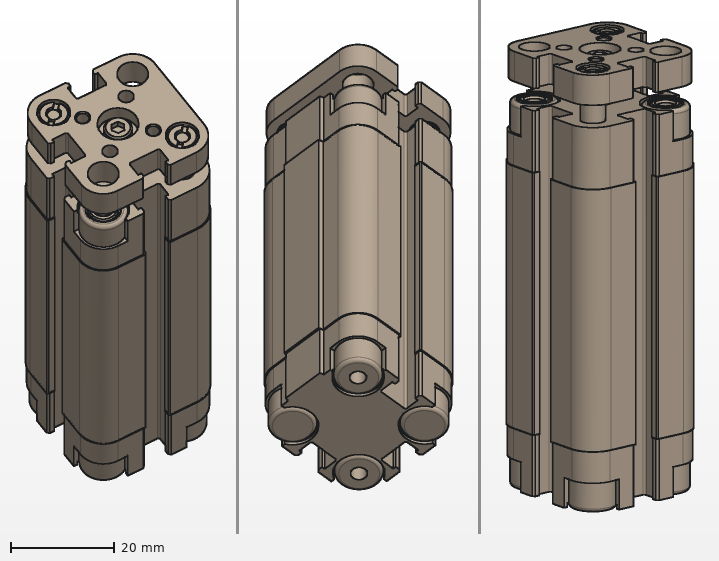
import cadquery as cq
import math


total_height = 88.5
housing_height = 78.0
corner_offset = 9.0

tube_half = 29.0 / 2
cap_half = 28.6 / 2
cap_height = 12.5

rail_base_half = 5.0
rail_top_half = 4.7
tube_rail_top = 15.5
cap_rail_top = 15.1

slot_inner_half = 3.45
slot_floor = 9.5
slot_lip = 12.8
slot_corner_radius = 0.4
tube_opening_half = 2.6
tube_lip_chamfer = 0.3
cap_opening_half = 2.7
cap_lip_chamfer = 0.4

boss_diameter = 9.5
boss_height = 6.1
boss_rounding = 0.8
boss_groove_diameter = 10.1
relief_start = 6.7

screw_bore_diameter = 7.0
screw_head_diameter = 6.1
screw_chamfer = 0.31
through_diameter = 3.3
through_mouth_diameter = 4.2

plate_half = 28.1 / 2
plate_thickness = 6.1
head_bore_depth = plate_thickness / 2
access_diameter = 6.0
plate_hole_offset = 5.0
dowel_diameter = 3.0
tapped_diameter = 2.5
tapped_mouth_diameter = 3.0

piston_diameter = 5.7
flats_width = 4.7
flats_length = 2.7
piston_bore_diameter = 8.0
piston_end_diameter = 5.5
piston_end_depth = 1.1
piston_end_chamfer = 0.35
hex_width = 2.5
hex_depth = 1.3

guide_diameter = 5.0
collar_diameter = 6.0
collar_height = 0.5
head_bore_diameter = 6.5
head_diameter = 6.1
head_depth = 0.3
head_chamfer = 0.31
driver_slot_width = 1.1
driver_slot_depth = 0.8
post_diameter = 3.0
post_depth = 0.4
post_chamfer = 0.3

rod_reach = 35.4

tube_top = housing_height - cap_height
plate_bottom = total_height - plate_thickness
bore_floor = total_height - head_bore_depth
rod_bottom = housing_height - rod_reach

GUIDE_CORNERS = [(-corner_offset, -corner_offset), (corner_offset, corner_offset)]
SCREW_CORNERS = [(-corner_offset, corner_offset), (corner_offset, -corner_offset)]


def cylinder(diameter, bottom, top, center=(0, 0)):
    return cq.Workplane("XY", origin=(*center, bottom)).circle(diameter / 2).extrude(top - bottom)


def pin(diameter, chamfer, bottom, top, center=(0, 0)):
    """Cylinder with a chamfered top rim."""
    return cylinder(diameter, bottom, top, center).faces(">Z").edges().chamfer(chamfer)


def countersink(small_diameter, large_diameter, top, center):
    """45 degree cone that widens to the large diameter at the top."""
    depth = (large_diameter - small_diameter) / 2
    small = cq.Workplane("XY", origin=(*center, top - depth)).circle(small_diameter / 2)
    return small.workplane(offset=depth).circle(large_diameter / 2).loft()


def block(width, length, bottom, top, center=(0, 0)):
    return cq.Workplane("XY", origin=(*center, bottom)).rect(width, length).extrude(top - bottom)


def prism(outline, bottom, top):
    return cq.Workplane("XY", origin=(0, 0, bottom)).polyline(outline).close().extrude(top - bottom)


def t_slot(half, opening_half, lip_chamfer, bottom, top):
    """Cutter for a T-slot in the -Y face of a square with the given half width."""
    right_side = [
        (slot_inner_half, -slot_floor),
        (slot_inner_half, -slot_lip),
        (opening_half, -slot_lip),
        (opening_half, lip_chamfer - half),
        (opening_half + lip_chamfer, -half),
    ]
    left_side = [(-x, y) for x, y in reversed(right_side)]
    cutter = prism(right_side + left_side, bottom, top)
    return cutter.edges("|Z and >Y").fillet(slot_corner_radius)


def slotted_square(half, opening_half, lip_chamfer, bottom, top):
    """Square with corners rounded about the corner centres and T-slots in three faces."""
    body = block(2 * half, 2 * half, bottom, top).edges("|Z").fillet(half - corner_offset)
    cutter = t_slot(half, opening_half, lip_chamfer, bottom, top)
    for angle in (-90, 0, 90):
        body = body.cut(cutter.rotate((0, 0, 0), (0, 0, 1), angle))
    return body


def rail(face, rail_top, bottom, top):
    outline = [
        (-rail_base_half, face),
        (-rail_top_half, rail_top),
        (rail_top_half, rail_top),
        (rail_base_half, face),
    ]
    return prism(outline, bottom, top)


def end_cap(bottom):
    top = bottom + cap_height
    body = slotted_square(cap_half, cap_opening_half, cap_lip_chamfer, bottom, top)
    return body.union(rail(cap_half, cap_rail_top, bottom, top))


def tube():
    body = slotted_square(tube_half, tube_opening_half, tube_lip_chamfer, cap_height, tube_top)
    return body.union(rail(tube_half, tube_rail_top, cap_height, tube_top))


def boss_relief(center):
    """Cutter that leaves a boss with a rounded rim in a top corner of the housing."""
    bottom = housing_height - boss_height
    reach = cap_half - relief_start
    middle = (cap_half + relief_start) / 2
    x_side, y_side = (math.copysign(1, value) for value in center)
    corner = block(reach, reach, bottom, housing_height, (x_side * middle, y_side * middle))
    groove = cylinder(boss_groove_diameter, housing_height - boss_rounding, housing_height, center)
    boss = cylinder(boss_diameter, bottom, housing_height, center)
    boss = boss.faces(">Z").edges().fillet(boss_rounding)
    return corner.union(groove).cut(boss)


def upside_down(cutter):
    """The same cutter at the other end of the housing."""
    return cutter.mirror("XY", (0, 0, housing_height / 2))


def hollow_screw_cut(center):
    """Through hole with a countersunk mouth, and the shallow gap around the screw head."""
    gap_floor = housing_height - screw_chamfer
    head = pin(screw_head_diameter, screw_chamfer, rod_bottom, housing_height, center)
    gap = cylinder(screw_bore_diameter, gap_floor, housing_height, center).cut(head)
    mouth = countersink(through_diameter, through_mouth_diameter, housing_height, center)
    return cylinder(through_diameter, 0, housing_height, center).union(mouth), gap


def make_housing():
    body = tube().union(end_cap(0)).union(end_cap(tube_top))
    for center in SCREW_CORNERS:
        body = body.cut(boss_relief(center))
    for center in GUIDE_CORNERS + SCREW_CORNERS:
        body = body.cut(upside_down(boss_relief(center)))
    for center in SCREW_CORNERS:
        for cutter in hollow_screw_cut(center):
            body = body.cut(cutter)
    for center in GUIDE_CORNERS:
        body = body.cut(cylinder(guide_diameter, rod_bottom, housing_height, center))
    return body.cut(cylinder(piston_diameter, rod_bottom, housing_height))


def plate():
    body = slotted_square(plate_half, cap_opening_half, cap_lip_chamfer, plate_bottom, total_height)
    body = body.cut(cylinder(piston_bore_diameter, bore_floor, total_height))
    for center in GUIDE_CORNERS:
        body = body.cut(cylinder(head_bore_diameter, bore_floor, total_height, center))
    for center in SCREW_CORNERS:
        body = body.cut(cylinder(access_diameter, plate_bottom, total_height, center))
    for offset in (-plate_hole_offset, plate_hole_offset):
        dowel_place = (-offset, offset)
        tapped_place = (offset, offset)
        body = body.cut(cylinder(dowel_diameter, plate_bottom, total_height, dowel_place))
        body = body.cut(cylinder(tapped_diameter, plate_bottom, total_height, tapped_place))
        body = body.cut(countersink(tapped_diameter, tapped_mouth_diameter, total_height, tapped_place))
    return body


def piston_rod():
    """Rod with two flats under the plate and a hex socket in its upper end."""
    end_top = total_height - piston_end_depth
    flats_bottom = plate_bottom - flats_length
    shank = cylinder(piston_diameter, rod_bottom, flats_bottom)
    neck = cylinder(piston_diameter, flats_bottom, plate_bottom)
    neck = neck.intersect(block(piston_diameter, flats_width, flats_bottom, plate_bottom))
    end = pin(piston_end_diameter, piston_end_chamfer, plate_bottom, end_top)
    hex_diameter = hex_width / math.cos(math.pi / 6)
    socket = cq.Workplane("XY", origin=(0, 0, end_top - hex_depth)).polygon(6, hex_diameter).extrude(hex_depth)
    end = end.cut(socket.rotate((0, 0, 0), (0, 0, 1), 30))
    return shank.union(neck), end


def guide_rod(center):
    """Rod with a collar under the plate."""
    collar = cylinder(collar_diameter, plate_bottom - collar_height, plate_bottom, center)
    return cylinder(guide_diameter, rod_bottom, plate_bottom, center).union(collar)


def screw_head(center):
    """Slotted head around a chamfered post, standing on the floor of its bore."""
    top = total_height - head_depth
    slot_bottom = top - driver_slot_depth
    post_top = top - post_depth
    head = pin(head_diameter, head_chamfer, bore_floor, top, center)
    slot = block(head_diameter, driver_slot_width, slot_bottom, top, center)
    head = head.cut(slot.rotate((*center, 0), (*center, 1), -45))
    head = head.cut(cylinder(post_diameter, slot_bottom, top, center))
    return head.union(pin(post_diameter, post_chamfer, slot_bottom, post_top, center))


def make_moving_unit():
    body = plate()
    for piece in piston_rod():
        body = body.union(piece)
    for center in GUIDE_CORNERS:
        body = body.union(guide_rod(center)).union(screw_head(center))
    return body


housing = make_housing()
moving_unit = make_moving_unit()
result = cq.Compound.makeCompound([housing.val(), moving_unit.val()])